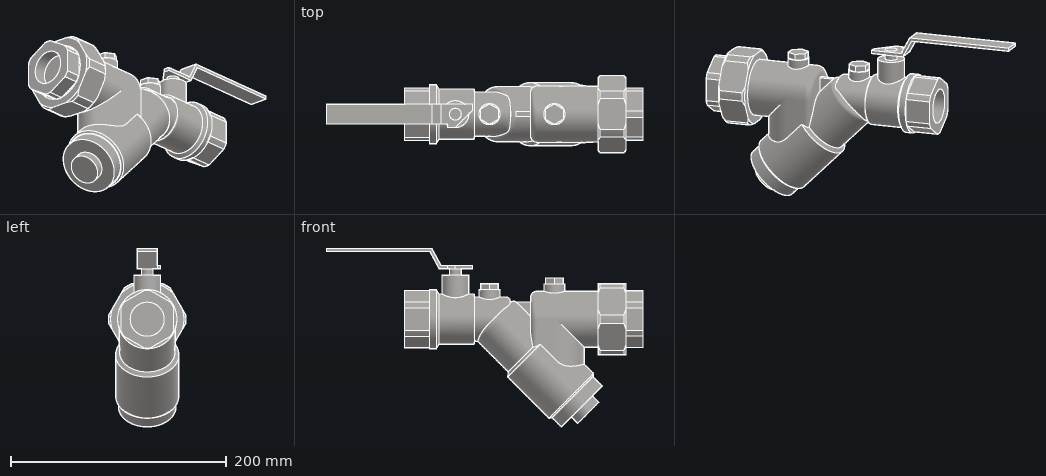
import cadquery as cq
import math


inlet_flats = 49.0
inlet_corner_radius = 26.7
inlet_face_x = -47.2
bore_radius = 15.8
bore_depth = 13.0

flange_start_x = -24.1
flange_cone_x = -17.7
flange_end_x = -15.2
flange_radius = 27.5
ball_case_end_x = 17.6
ball_case_radius = 23.5
ball_case_rounding = 1.0
ball_case_root_radius = 0.9
pipe_radius = 20.7
pipe_end_x = 51.0
pipe_rounding = 4.0

branch_axis_x = 36.4
branch_start = -0.8
branch_angle = 45.0
branch_radius = 25.7
branch_rounding = 4.8
pocket_radius = 29.4
pocket_cone_start = 43.5
pocket_start = 46.5
pocket_end = 102.3
pocket_chamfer_length = 1.6
pocket_mouth_radius = 27.5

cap_radius = 26.9
cap_length = 12.3
knob_radius = 13.9
knob_length = 8.3

outlet_start_x = 69.8
outlet_radius = 26.1
outlet_rounding = 6.0
leg_round_center_x = 93.6
leg_bottom_z = -55.0
web_thickness = 4.7
web_top_z = 16.1

neck_radius = 12.5
neck_top_z = 41.0
stem_radius = 5.5
lever_thickness = 3.1
lever_width = 18.6
lever_low_top_z = 49.9
lever_high_top_z = 65.8
lever_left_x = -119.7
lever_bend_top_x = -21.8
lever_bend_bottom_x = -13.2
lever_right_x = 16.1
lever_end_height = 5.6
tab_left_x = -7.1
tab_drop = 3.2

plug_stations = [(31.7, pipe_radius), (91.9, outlet_radius)]
boss_radius = 9.8
boss_height = 6.8
plug_flats = 16.5
plug_height = 5.5

nut_start_x = 132.4
nut_end_x = 158.4
nut_flats = 66.0
nut_corner_radius = 36.0
nut_chamfer = 2.0
tail_seat_x = (nut_start_x + nut_end_x) / 2
tail_end_x = 174.3
tail_flats = 48.6
tail_corner_radius = 26.5


def cylinder_x(radius, start_x, end_x):
    """Cylinder along the pipe axis."""
    return cq.Workplane("YZ", origin=(start_x, 0, 0)).circle(radius).extrude(end_x - start_x)


def cylinder_z(radius, x, bottom_z, top_z):
    """Upright cylinder on the pipe's middle plane."""
    return cq.Workplane("XY", origin=(x, 0, bottom_z)).circle(radius).extrude(top_z - bottom_z)


def hexagon_x(flats, start_x, end_x, corner_angle):
    """Hexagonal bar along the pipe axis, with one corner at the given angle from +Y."""
    across_corners = flats / math.cos(math.pi / 6)
    bar = cq.Workplane("YZ").polygon(6, across_corners).extrude(end_x - start_x)
    return bar.rotate((0, 0, 0), (1, 0, 0), corner_angle).translate((start_x, 0, 0))


def along_branch(shape):
    """Move a shape built around +X from the origin onto the branch axis."""
    return shape.rotate((0, 0, 0), (0, 1, 0), branch_angle).translate((branch_axis_x, 0, 0))


def make_inlet():
    hexagon = hexagon_x(inlet_flats, inlet_face_x, flange_start_x, 90)
    hexagon = hexagon.intersect(cylinder_x(inlet_corner_radius, inlet_face_x, flange_start_x))
    ball_case = (
        cq.Workplane("XZ")
        .moveTo(flange_start_x, 0)
        .lineTo(flange_start_x, flange_radius)
        .lineTo(flange_cone_x, flange_radius)
        .lineTo(flange_end_x, ball_case_radius)
        .lineTo(ball_case_end_x, ball_case_radius)
        .lineTo(ball_case_end_x, 0)
        .close()
        .revolve(360, (0, 0, 0), (1, 0, 0))
        .faces(">X").edges().fillet(ball_case_rounding)
    )
    root_start_radius = pipe_radius + ball_case_root_radius
    root_end_x = ball_case_end_x + ball_case_root_radius
    root_fillet = (
        cq.Workplane("XZ")
        .moveTo(ball_case_end_x, 0)
        .lineTo(ball_case_end_x, root_start_radius)
        .radiusArc((root_end_x, pipe_radius), -ball_case_root_radius)
        .lineTo(root_end_x, 0)
        .close()
        .revolve(360, (0, 0, 0), (1, 0, 0))
    )
    pipe = cylinder_x(pipe_radius, 0, pipe_end_x).faces(">X").edges().fillet(pipe_rounding)
    return hexagon.union(ball_case).union(root_fillet).union(pipe)


def make_branch():
    branch_tube = cylinder_x(branch_radius, branch_start, pocket_start)
    branch_tube = branch_tube.faces("<X").edges().fillet(branch_rounding)
    pocket = (
        cq.Workplane("XZ")
        .moveTo(pocket_cone_start, 0)
        .lineTo(pocket_cone_start, branch_radius)
        .lineTo(pocket_start, pocket_radius)
        .lineTo(pocket_end - pocket_chamfer_length, pocket_radius)
        .lineTo(pocket_end, pocket_mouth_radius)
        .lineTo(pocket_end, 0)
        .close()
        .revolve(360, (0, 0, 0), (1, 0, 0))
    )
    return along_branch(branch_tube.union(pocket))


def make_outlet():
    """Outlet pipe with a round-ended leg that drops into the strainer branch."""
    pipe = cylinder_x(outlet_radius, outlet_start_x, tail_seat_x)
    leg = (
        cq.Workplane("XY")
        .moveTo(outlet_start_x, -outlet_radius)
        .lineTo(leg_round_center_x, -outlet_radius)
        .threePointArc((leg_round_center_x + outlet_radius, 0), (leg_round_center_x, outlet_radius))
        .lineTo(outlet_start_x, outlet_radius)
        .close()
        .extrude(leg_bottom_z)
    )
    return pipe.union(leg).faces("<X").edges("not <Z").fillet(outlet_rounding)


def make_body():
    web_length = outlet_start_x + outlet_rounding - branch_axis_x
    web = cq.Workplane("XY").box(web_length, web_thickness, web_top_z, centered=(False, True, False))
    web = web.translate((branch_axis_x, 0, 0))
    shape = make_inlet().union(make_branch()).union(web).union(make_outlet())
    shape = shape.union(cylinder_z(neck_radius, 0, 0, neck_top_z))
    for x, radius in plug_stations:
        shape = shape.union(cylinder_z(boss_radius, x, 0, radius + boss_height))
    return shape.cut(cylinder_x(bore_radius, inlet_face_x, inlet_face_x + bore_depth))


def make_stem():
    return cylinder_z(stem_radius, 0, neck_top_z, lever_low_top_z)


def make_lever():
    """Cranked flat bar with a stop tab and a slanted corner at the stem end."""
    crank = math.atan2(lever_high_top_z - lever_low_top_z, lever_bend_bottom_x - lever_bend_top_x)
    bend_shift = lever_thickness * math.tan(crank / 2)
    side = [
        (lever_left_x, lever_high_top_z),
        (lever_bend_top_x, lever_high_top_z),
        (lever_bend_bottom_x, lever_low_top_z),
        (lever_right_x, lever_low_top_z),
        (lever_right_x, lever_low_top_z - lever_thickness),
        (lever_bend_bottom_x - bend_shift, lever_low_top_z - lever_thickness),
        (lever_bend_top_x - bend_shift, lever_high_top_z - lever_thickness),
        (lever_left_x, lever_high_top_z - lever_thickness),
    ]
    blank_depth = lever_width + 2 * tab_drop
    blank = cq.Workplane("XZ").polyline(side).close().extrude(blank_depth / 2, both=True)
    half_width = lever_width / 2
    tab_y = -half_width - tab_drop
    end_corner_y = half_width - lever_end_height
    plan = [
        (lever_left_x, half_width),
        (lever_right_x, half_width),
        (lever_right_x, end_corner_y),
        (lever_right_x - (end_corner_y - tab_y), tab_y),
        (tab_left_x, tab_y),
        (tab_left_x, -half_width),
        (lever_left_x, -half_width),
    ]
    outline = cq.Workplane("XY").polyline(plan).close().extrude(lever_high_top_z)
    return blank.intersect(outline).cut(make_stem())


def make_plug(x, boss_top_z):
    across_corners = plug_flats / math.cos(math.pi / 6)
    hexagon = cq.Workplane("XY").polygon(6, across_corners).extrude(plug_height)
    return hexagon.rotate((0, 0, 0), (0, 0, 1), 90).translate((x, 0, boss_top_z))


def make_union_nut():
    rounded = cylinder_x(nut_corner_radius, nut_start_x, nut_end_x).edges().chamfer(nut_chamfer)
    nut = hexagon_x(nut_flats, nut_start_x, nut_end_x, 0).intersect(rounded)
    return nut.cut(cylinder_x(outlet_radius, nut_start_x, nut_end_x))


def make_tailpiece():
    hexagon = hexagon_x(tail_flats, nut_end_x, tail_end_x, 90)
    hexagon = hexagon.intersect(cylinder_x(tail_corner_radius, nut_end_x, tail_end_x))
    tail = hexagon.union(cylinder_x(outlet_radius, tail_seat_x, nut_end_x))
    return tail.cut(cylinder_x(bore_radius, tail_end_x - bore_depth, tail_end_x))


def make_strainer_cap():
    cap_end = pocket_end + cap_length
    cap = cylinder_x(cap_radius, pocket_end, cap_end)
    knob = cylinder_x(knob_radius, cap_end, cap_end + knob_length)
    return along_branch(cap.union(knob))


body = make_body()
stem = make_stem()
lever = make_lever()
plugs = [make_plug(x, radius + boss_height) for x, radius in plug_stations]
union_nut = make_union_nut()
tailpiece = make_tailpiece()
strainer_cap = make_strainer_cap()

result = cq.Compound.makeCompound(
    [
        body.val(),
        stem.val(),
        lever.val(),
        *[plug.val() for plug in plugs],
        union_nut.val(),
        tailpiece.val(),
        strainer_cap.val(),
    ]
)